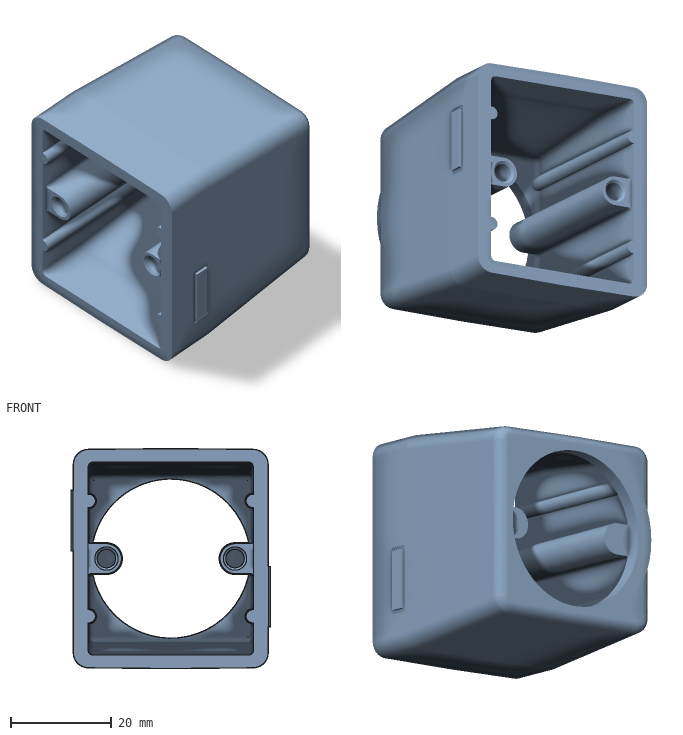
import cadquery as cq
import math

MOUTH_WIDTH = 39.0
HEIGHT = 44.0
DEPTH = 41.0
STRAIGHT_DEPTH = 11.0
SIDE_DRAFT = 0.6
ROOF_DRAFT = 5.6
CROWN_RISE = 0.18
CORNER_RADIUS = 3.1
BACK_RADIUS = 2.0

CAVITY_WIDTH = 33.0
CAVITY_HEIGHT = 38.6
FLOOR_THICKNESS = 3.0
CAVITY_RADIUS = 1.0
FLOOR_RADIUS = 0.95
CABLE_HOLE_RADIUS = 15.9

POST_DRAFT = 0.3

RIB_RADIUS = 1.3
RIB_X = 16.35
RIB_Z = 11.55

BOSS_X = 12.85
BOSS_RADIUS = 3.0
BOSS_FRONT = 1.2
BOSS_FILLET = 0.55
SCREW_HOLE_RADIUS = 1.85
SCREW_HOLE_DEPTH = 11.0
SCREW_CHAMFER = 0.5

PLATE_Y = 8.3
PLATE_Z = 7.6
PLATE_LENGTH = 13.65
PLATE_WIDTH = 4.5
PLATE_RADIUS = 0.65
PLATE_RECESS = 0.15
PAD_LENGTH = 12.1
PAD_WIDTH = 3.0
PAD_TO_PAD_WIDTH = 39.9

PAD_RISE = (PAD_TO_PAD_WIDTH - MOUTH_WIDTH) / 2
SIDE_SLOPE = math.tan(math.radians(SIDE_DRAFT))
ROOF_SLOPE = math.tan(math.radians(ROOF_DRAFT))
FLOOR_Y = DEPTH - FLOOR_THICKNESS
SIDES = (-1, 1)


def half_size_at(mouth_size, slope, y):
    """Half of a drafted width or height at depth y."""
    return mouth_size / 2 - slope * max(0, y - STRAIGHT_DEPTH)


def section(width, height, crown, y):
    """Closed outline at depth y; a crown puts a ridge on roof and underside."""
    x = half_size_at(width, SIDE_SLOPE, y)
    ridge = half_size_at(height, ROOF_SLOPE, y)
    edge = ridge - crown
    points = [(-x, -edge), (x, -edge), (x, edge), (-x, edge)]
    if crown:
        points.insert(3, (0, ridge))
        points.insert(1, (0, -ridge))
    return cq.Wire.makePolygon([cq.Vector(px, y, pz) for px, pz in points], close=True)


def runs_along_depth(edge):
    """True for edges that follow Y, drafted or not."""
    return abs(edge.tangentAt(0.5).y) > 0.9


def drafted_block(width, height, crown, end, corner_radius, end_radius):
    """Straight block at the mouth that tapers toward its rounded far end."""
    stations = (0, STRAIGHT_DEPTH, end)
    wires = [section(width, height, crown, y) for y in stations]
    straight = cq.Workplane(cq.Solid.makeLoft(wires[:2], True))
    tapered = cq.Workplane(cq.Solid.makeLoft(wires[1:], True))
    block = straight.union(tapered)
    corners = block.edges().filter(lambda e: runs_along_depth(e) and abs(e.Center().x) > width / 4)
    block = corners.fillet(corner_radius)
    return block.faces(">Y").edges().fillet(end_radius)


def edge_bulge():
    """Round bulge, coaxial with the cable hole, that fills the middle of the rounded -X edge."""
    radius = half_size_at(MOUTH_WIDTH, SIDE_SLOPE, DEPTH)
    cylinder = cq.Workplane("XZ", origin=(0, DEPTH, 0)).circle(radius).extrude(BACK_RADIUS)
    edge_zone = cq.Workplane("XY").box(2 * BACK_RADIUS, 2 * BACK_RADIUS, 2 * radius)
    return cylinder.intersect(edge_zone.translate((-radius, DEPTH, 0)))


def rib(side, z):
    """Drafted round guide rib from the mouth to the cavity floor."""
    base = cq.Workplane("XZ", origin=(side * RIB_X, 0, z)).circle(RIB_RADIUS)
    return base.extrude(-FLOOR_Y, taper=-POST_DRAFT)


def boss(side):
    """Drafted round-nosed boss from a side wall, without its screw hole."""
    wall = (MOUTH_WIDTH + CAVITY_WIDTH) / 4
    outline = (
        cq.Workplane("XZ", origin=(0, BOSS_FRONT, 0))
        .moveTo(side * wall, BOSS_RADIUS)
        .lineTo(side * BOSS_X, BOSS_RADIUS)
        .threePointArc((side * (BOSS_X - BOSS_RADIUS), 0), (side * BOSS_X, -BOSS_RADIUS))
        .lineTo(side * wall, -BOSS_RADIUS)
        .close()
    )
    return outline.extrude(BOSS_FRONT - FLOOR_Y, taper=-POST_DRAFT)


def cavity_around_bosses(cavity):
    """Cavity cleared of the screw bosses, with fillets where they meet the side walls."""
    for side in SIDES:
        cavity = cavity.cut(boss(side))
    wall_joints = cavity.edges().filter(
        lambda e: runs_along_depth(e)
        and abs(e.Center().x) > BOSS_X + BOSS_RADIUS / 2
        and abs(e.Center().z) < BOSS_RADIUS + BOSS_FILLET
    )
    return wall_joints.fillet(BOSS_FILLET)


def screw_hole(side):
    """Blind screw hole with a countersunk mouth."""
    hole = (
        cq.Workplane("XZ", origin=(side * BOSS_X, BOSS_FRONT, 0))
        .circle(SCREW_HOLE_RADIUS)
        .extrude(-SCREW_HOLE_DEPTH)
    )
    countersink = cq.Solid.makeCone(
        SCREW_HOLE_RADIUS + SCREW_CHAMFER,
        SCREW_HOLE_RADIUS,
        SCREW_CHAMFER,
        cq.Vector(side * BOSS_X, BOSS_FRONT, 0),
        cq.Vector(0, 1, 0),
    )
    return hole.union(cq.Workplane(countersink))


def nameplate_block(side, width, length, inner, outer):
    """Block on a side face, from inner to outer distance beyond that face."""
    thickness = outer - inner
    x = side * (MOUTH_WIDTH / 2 + (inner + outer) / 2)
    block = cq.Workplane("XY").box(thickness, width, length)
    return block.translate((x, PLATE_Y, -side * PLATE_Z))


def plate_recess(side):
    """Shallow rounded recess for the nameplate."""
    recess = nameplate_block(side, PLATE_WIDTH, PLATE_LENGTH, -PLATE_RECESS, PAD_RISE)
    return recess.edges("|X").fillet(PLATE_RADIUS)


def plate_pad(side):
    """Raised pad standing on the floor of the nameplate recess."""
    return nameplate_block(side, PAD_WIDTH, PAD_LENGTH, -PLATE_RECESS, PAD_RISE)


outer_body = drafted_block(MOUTH_WIDTH, HEIGHT, CROWN_RISE, DEPTH, CORNER_RADIUS, BACK_RADIUS)
cavity = drafted_block(CAVITY_WIDTH, CAVITY_HEIGHT, 0, FLOOR_Y, CAVITY_RADIUS, FLOOR_RADIUS)
cable_hole = cq.Workplane("XZ").circle(CABLE_HOLE_RADIUS).extrude(-DEPTH)

result = outer_body.union(edge_bulge()).cut(cavity_around_bosses(cavity))
result = result.cut(cable_hole)
for side in SIDES:
    result = result.union(boss(side)).cut(screw_hole(side))
    for z in (-RIB_Z, RIB_Z):
        result = result.union(rib(side, z))
    result = result.cut(plate_recess(side)).union(plate_pad(side))